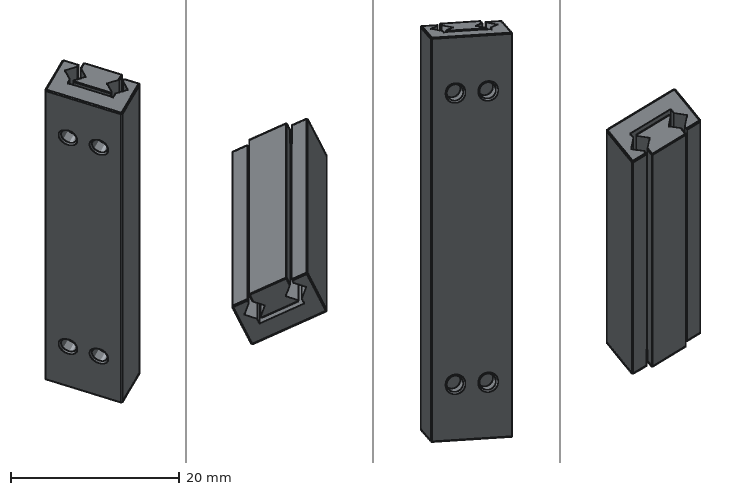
import cadquery as cq

LENGTH = 50.0
WIDTH = 10.0
HEIGHT = 6.0

RAIL_HEIGHT = 5.5
RAIL_CHAMFER = 0.15
FLOOR_THICKNESS = 2.1
CHANNEL_WIDTH = 5.9

CARRIAGE_WIDTH = 5.0
CARRIAGE_BASE = 2.6
CARRIAGE_CHAMFER = 0.1

RACEWAY_X = (CARRIAGE_WIDTH + CHANNEL_WIDTH) / 4
RACEWAY_Y = 3.9
RACEWAY_DIAGONAL = 2.7

HOLE_DIAMETER = 2.0
HOLE_RIM_DIAMETER = 2.45
HOLE_DEPTH = 1.75
HOLE_SPACING_X = 4.0
HOLE_SPACING_Z = 36.0

MID_LENGTH = LENGTH / 2


def bar(width, bottom, top, chamfer):
    """Full-length bar, centred on X, with chamfered outer edges."""
    block = cq.Workplane("XY").box(width, top - bottom, LENGTH)
    return block.edges().chamfer(chamfer).translate((0, (bottom + top) / 2, MID_LENGTH))


def raceways():
    """Pair of square prisms whose corners form the V grooves."""
    return (
        cq.Workplane("XY")
        .pushPoints([(-RACEWAY_X, RACEWAY_Y), (RACEWAY_X, RACEWAY_Y)])
        .polygon(4, RACEWAY_DIAGONAL)
        .extrude(LENGTH)
    )


def mounting_holes():
    """Blind holes in the outer face of the rail floor, each with a conical rim."""
    radius = HOLE_DIAMETER / 2
    rim_radius = HOLE_RIM_DIAMETER / 2
    rim_depth = rim_radius - radius
    profile = [
        (0, 0),
        (rim_radius, 0),
        (radius, rim_depth),
        (radius, HOLE_DEPTH),
        (0, HOLE_DEPTH),
    ]
    hole = cq.Workplane("XY").polyline(profile).close().revolve(360, (0, 0), (0, 1))
    holes = []
    for side in (-1, 1):
        for end in (-1, 1):
            x = side * HOLE_SPACING_X / 2
            z = MID_LENGTH + end * HOLE_SPACING_Z / 2
            holes.append(hole.translate((x, 0, z)))
    return holes


def make_rail():
    """Channel with V grooves in its side walls and holes in its floor."""
    channel = (
        cq.Workplane("XY")
        .box(CHANNEL_WIDTH, HEIGHT, LENGTH)
        .translate((0, FLOOR_THICKNESS + HEIGHT / 2, MID_LENGTH))
    )
    rail = bar(WIDTH, 0, RAIL_HEIGHT, RAIL_CHAMFER).cut(channel).cut(raceways())
    for hole in mounting_holes():
        rail = rail.cut(hole)
    return rail


def make_carriage():
    """Sliding bar with a V groove in each side."""
    return bar(CARRIAGE_WIDTH, CARRIAGE_BASE, HEIGHT, CARRIAGE_CHAMFER).cut(raceways())


rail = make_rail()
carriage = make_carriage()

result = cq.Compound.makeCompound([rail.val(), carriage.val()])